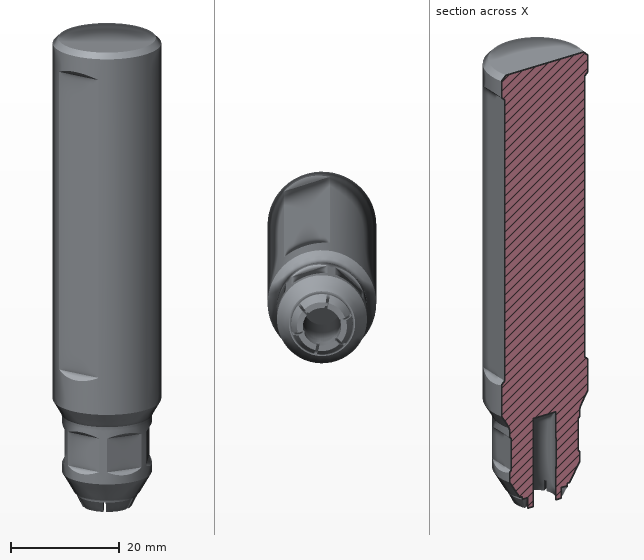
import cadquery as cq
import math

length = 90.0
shank_radius = 20.0 / 2
top_chamfer = 1.0

shank_taper_top = 20.4
shank_taper_bottom = 17.55
nut_top = 17.3
nut_taper_top = 6.5
nut_bottom = 2.7
collet_rim = 2.2

taper_angle = math.radians(30)
nut_radius = 8.3
nut_mouth_radius = nut_radius - (nut_taper_top - nut_bottom) * math.tan(taper_angle)
neck_radius = shank_radius - (shank_taper_top - shank_taper_bottom) * math.tan(taper_angle)
collet_radius = 5.7
collet_tip_radius = 4.6

shank_flat_count = 2
shank_flat_offset = 17.9 / 2
shank_flat_bottom = 27.5
shank_flat_top = 85.0

wrench_flat_count = 6
wrench_flat_offset = 15.0 / 2
wrench_flat_bottom = 8.8
wrench_flat_top = 15.3

bore_diameter = 7.0
bore_depth = 18.0
slot_count = 6
slot_width = 0.5
slot_depth = collet_rim

cut_clearance = 0.9


def turned_body():
    """Shank, nut and collet as one turned profile."""
    profile = [
        (0, 0),
        (collet_tip_radius, 0),
        (collet_radius, collet_rim),
        (collet_radius, nut_bottom),
        (nut_mouth_radius, nut_bottom),
        (nut_radius, nut_taper_top),
        (nut_radius, nut_top),
        (neck_radius, nut_top),
        (neck_radius, shank_taper_bottom),
        (shank_radius, shank_taper_top),
        (shank_radius, length - top_chamfer),
        (shank_radius - top_chamfer, length),
        (0, length),
    ]
    return cq.Workplane("XZ").polyline(profile).close().revolve(360, (0, 0), (0, 1))


def flat_cutter(offset, bottom, top, outer_radius):
    """Cutter for a flat facing +Y; both ends flare outwards at 45 degrees."""
    reach = outer_radius - offset + cut_clearance
    outline = [
        (offset, bottom),
        (offset + reach, bottom - reach),
        (offset + reach, top + reach),
        (offset, top),
    ]
    return cq.Workplane("YZ").polyline(outline).close().extrude(outer_radius, both=True)


def cut_around(body, cutter, count):
    """Cut equally spaced copies of the cutter around the Z axis."""
    for index in range(count):
        body = body.cut(cutter.rotate((0, 0, 0), (0, 0, 1), index * 360 / count))
    return body


def collet_slot():
    """One radial slot running from the axis out through the collet along +X."""
    return cq.Workplane("XY").box(
        collet_radius, slot_width, slot_depth, centered=(False, True, False)
    )


shank_flat = flat_cutter(shank_flat_offset, shank_flat_bottom, shank_flat_top, shank_radius)
wrench_flat = flat_cutter(wrench_flat_offset, wrench_flat_bottom, wrench_flat_top, nut_radius)
bore = cq.Workplane("XY").circle(bore_diameter / 2).extrude(bore_depth)

result = turned_body()
result = cut_around(result, shank_flat, shank_flat_count)
result = cut_around(result, wrench_flat, wrench_flat_count)
result = result.cut(bore)
result = cut_around(result, collet_slot(), slot_count)